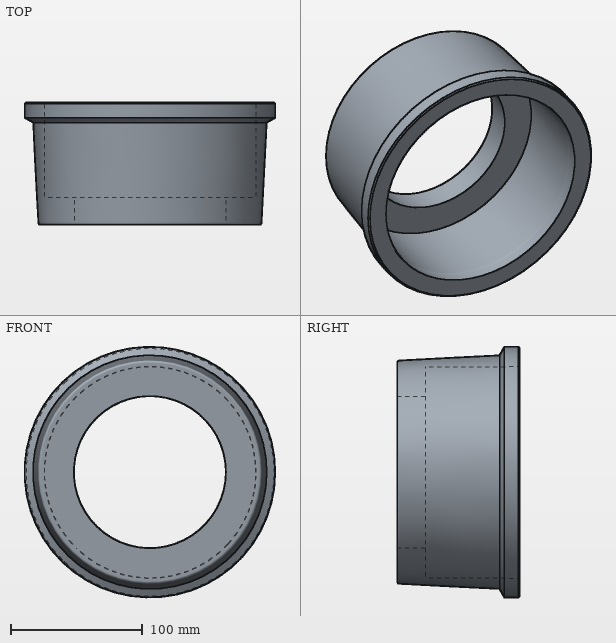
import cadquery as cq

flange_diameter = 190.0
length = 93.0

rim_width = 11.8
rim_chamfer = 1.1
shoulder_width = 3.6

body_root_diameter = 177.0
body_tip_diameter = 169.1
tip_fillet = 1.9

lip_diameter = 115.0
lip_depth = 21.0
bore_diameter = 160.0
bore_end = 82.8
mouth_diameter = 160.5
mouth_taper = 1.7

flange_radius = flange_diameter / 2
rim_front = length - rim_width
body_end = rim_front - shoulder_width


def revolve_about_y(profile):
    """Revolve a closed outline of (radius, y) points a full turn about the Y axis."""
    return cq.Workplane("XY").polyline(profile).close().revolve(360, (0, 0, 0), (0, 1, 0))


def make_outer_body():
    """Revolve the tapered body and its flange as one solid."""
    profile = [
        (0, 0),
        (body_tip_diameter / 2, 0),
        (body_root_diameter / 2, body_end),
        (flange_radius, rim_front),
        (flange_radius, length - rim_chamfer),
        (flange_radius - rim_chamfer, length),
        (0, length),
    ]
    body = revolve_about_y(profile)
    return body.faces("<Y").edges().fillet(tip_fillet)


def make_bore():
    """Revolve the stepped through bore, with a short cone between the straight bore and the mouth."""
    profile = [
        (0, 0),
        (lip_diameter / 2, 0),
        (lip_diameter / 2, lip_depth),
        (bore_diameter / 2, lip_depth),
        (bore_diameter / 2, bore_end),
        (mouth_diameter / 2, bore_end + mouth_taper),
        (mouth_diameter / 2, length),
        (0, length),
    ]
    return revolve_about_y(profile)


result = make_outer_body().cut(make_bore())